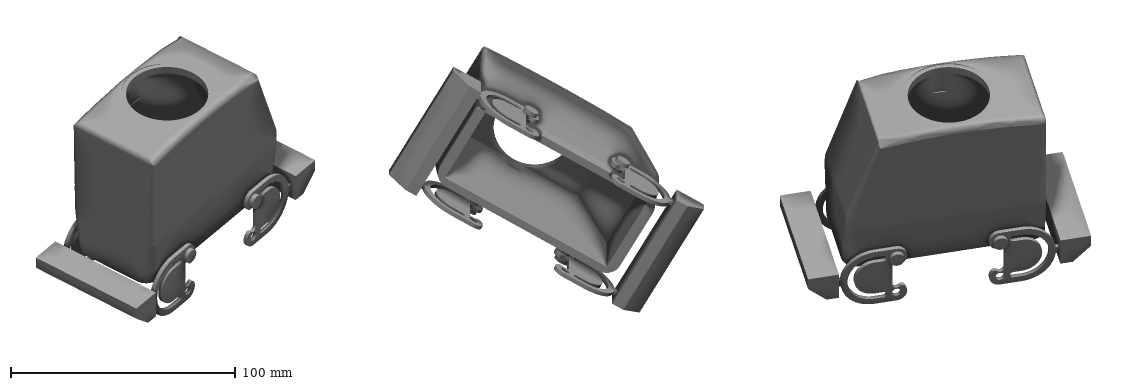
import cadquery as cq
import math

belt_z = 23.2
skirt_z = 6.6
bend_z = 30.8
blank_top_z = 77.7
body_half_width = 22.8
skirt_half_width = 22.1
base_half_width = 21.4
front_base_y = -46.6
front_draft = 0.012
back_base_y = 46.5
back_wall_y = 46.1
slope_run_per_rise = 0.36
base_corner = 7.0
skirt_corner = 6.6
belt_corner = 4.1
bend_corner = 3.1
top_corner = 1.4
bend_round = 10.4
bend_margin = 0.1
overshoot = 13.0
slab_thickness = 1.3

roof_peak_z = 75.6
roof_radius = 284.9
roof_center_y = -6.1
roof_side_round = 3.2
roof_front_round = 2.6
roof_back_round = 1.3
roof_end_z = 73.0
crown_floor_z = -1.3

bore_radius = 18.4
bore_depth = 14.2
spotface_radius = 20.5
spotface_half_length = 17.4
roof_thickness = 3.9

cavity_half_width = 17.9
wall = 4.5

pin_y = 23.7
pin_z = 6.1
lever_outer_radius = 15.5
eye_radius = 4.9
eye_y = lever_outer_radius - eye_radius
lever_center_z = pin_z - eye_y
lever_thickness = 1.8
lever_inner_x = 23.8
lever_bow = 10.0
lever_edge = 2.0
relief_radius = 2.0
tip_x = -2.5
tip_radius = 1.4
eye_hole_radius = 2.1
slot_outer_radius = 12.4
slot_inner_radius = 9.3
slot_end = 4.5

pin_radius = 2.0
pin_head_radius = 3.4
pin_head_thickness = 2.1
pin_root_x = 19.4

overall_length = 129.5
handle_length = 57.0
handle_outer_y = overall_length / 2
handle_inner_y = 50.6
handle_top_z = 3.5
handle_bottom_z = -10.5
handle_nose_z = -2.5
handle_foot_y = 56.3
stem_height = 3.8

roof_axis_z = roof_peak_z - roof_radius
spotface_z = roof_axis_z + math.sqrt(roof_radius**2 - spotface_half_length**2)
ceiling_z = spotface_z - roof_thickness


def front_y(z):
    return front_base_y + front_draft * z


def slope_y(z):
    return back_wall_y - slope_run_per_rise * (z - bend_z)


def roof_z(y):
    return roof_axis_z + math.sqrt(roof_radius**2 - (y - roof_center_y) ** 2)


def tapered_block(lower, upper):
    """Straight-sided solid between two horizontal rounded rectangles."""
    wires = []
    for half_width, y_front, y_back, corner, z in (lower, upper):
        center = cq.Workplane("XY", origin=(0, (y_front + y_back) / 2, z))
        slab = center.rect(2 * half_width, y_back - y_front).extrude(slab_thickness)
        slab = slab.edges("|Z").fillet(corner)
        wires.append(slab.faces("<Z").wires().val())
    return cq.Workplane(cq.Solid.makeLoft(wires, True))


def stacked_tapers(levels):
    stack = tapered_block(levels[0], levels[1])
    for lower, upper in zip(levels[1:], levels[2:]):
        stack = stack.union(tapered_block(lower, upper))
    return stack


def hood_blank():
    """Common part of a front-end and a back-end shape, whose corners shrink towards the roof.

    Each shape overshoots the opposite end, so only its own corners are kept.
    """
    over_back = back_base_y + overshoot
    over_front = front_base_y - overshoot
    front_end = stacked_tapers([
        (base_half_width, front_y(0), over_back, base_corner, 0),
        (skirt_half_width, front_y(skirt_z), over_back, skirt_corner, skirt_z),
        (body_half_width, front_y(belt_z), over_back, belt_corner, belt_z),
        (body_half_width, front_y(blank_top_z), over_back, top_corner, blank_top_z),
    ])
    back_end = stacked_tapers([
        (base_half_width, over_front, back_base_y, base_corner, 0),
        (skirt_half_width, over_front, back_base_y, skirt_corner, skirt_z),
        (body_half_width, over_front, back_wall_y, bend_corner, belt_z),
        (body_half_width, over_front, back_wall_y, bend_corner, bend_z),
        (body_half_width, over_front, slope_y(blank_top_z), top_corner, blank_top_z),
    ])
    blank = front_end.intersect(back_end)
    bend_zone = cq.selectors.BoxSelector(
        (-body_half_width, 0, bend_z - bend_margin), (body_half_width, over_back, bend_z + bend_margin)
    )
    return blank.edges(bend_zone).fillet(bend_round)


def crown():
    """Ring with rounded shoulders, revolved about the centre of the roof arc."""
    return (
        cq.Workplane("XZ", origin=(0, roof_center_y, 0))
        .moveTo(-body_half_width, crown_floor_z)
        .lineTo(-body_half_width, roof_peak_z - roof_side_round)
        .radiusArc((roof_side_round - body_half_width, roof_peak_z), roof_side_round)
        .lineTo(body_half_width - roof_side_round, roof_peak_z)
        .radiusArc((body_half_width, roof_peak_z - roof_side_round), roof_side_round)
        .lineTo(body_half_width, crown_floor_z)
        .close()
        .revolve(360, (0, roof_axis_z), (1, roof_axis_z))
    )


def side_envelope():
    """Lengthwise outline of the hood, with both roof ends rounded."""
    roof_front = (front_y(roof_end_z), roof_z(front_y(roof_end_z)))
    roof_back = (slope_y(roof_end_z), roof_z(slope_y(roof_end_z)))
    outline = (
        cq.Workplane("YZ")
        .moveTo(front_y(0), 0)
        .lineTo(*roof_front)
        .threePointArc((roof_center_y, roof_peak_z), roof_back)
        .lineTo(back_wall_y, bend_z)
        .lineTo(back_wall_y, belt_z)
        .lineTo(back_base_y, skirt_z)
        .lineTo(back_base_y, 0)
        .close()
        .extrude(body_half_width, both=True)
    )
    rounds = ((roof_front, roof_front_round), (roof_back, roof_back_round))
    for corner, radius in rounds:
        outline = outline.edges(cq.selectors.NearestToPointSelector((0, *corner))).fillet(radius)
    return outline


def cavity():
    """Space inside the hood, open at the bottom, one wall thickness from the end faces."""
    slope_wall = wall * math.hypot(1, slope_run_per_rise)
    inner_bend_z = bend_z - (slope_wall - wall) / slope_run_per_rise
    return (
        cq.Workplane("YZ")
        .moveTo(front_y(0) + wall, 0)
        .lineTo(front_y(ceiling_z) + wall, ceiling_z)
        .lineTo(slope_y(ceiling_z) - slope_wall, ceiling_z)
        .lineTo(back_wall_y - wall, inner_bend_z)
        .lineTo(back_wall_y - wall, 0)
        .close()
        .extrude(cavity_half_width, both=True)
    )


def cable_entry():
    """Bore through the roof and the flat spotface around it."""
    center = cq.Workplane("XY", origin=(0, roof_center_y, spotface_z))
    bore = center.circle(bore_radius).extrude(-bore_depth)
    return bore.union(center.circle(spotface_radius).extrude(roof_peak_z))


def hood():
    shell = hood_blank().intersect(crown()).intersect(side_envelope())
    return shell.cut(cavity()).cut(cable_entry())


def pin_cylinder(radius, x_start, x_end):
    return (
        cq.Workplane("YZ", origin=(x_start, pin_y, pin_z)).circle(radius).extrude(x_end - x_start)
    )


def lever_plane():
    """Plane of the lever, with its origin midway between the two eyes."""
    return cq.Workplane("YZ", origin=(lever_inner_x, pin_y, lever_center_z))


def upper_lever():
    """Upper half of the lever: quarter bow, eye and hooked tip beside a round relief."""
    tip_reach = eye_radius - tip_radius
    tip_y = eye_y - math.sqrt(tip_reach**2 - tip_x**2)
    relief_x = lever_edge - relief_radius
    relief_reach = relief_radius + tip_radius
    relief_y = tip_y - math.sqrt(relief_reach**2 - (tip_x - relief_x) ** 2)
    tip_start = (
        relief_x + (tip_x - relief_x) * relief_radius / relief_reach,
        relief_y + (tip_y - relief_y) * relief_radius / relief_reach,
    )
    tip_end = (tip_x * eye_radius / tip_reach, eye_y + (tip_y - eye_y) * eye_radius / tip_reach)
    return (
        lever_plane()
        .moveTo(lever_edge, 0)
        .lineTo(lever_edge, relief_y)
        .radiusArc(tip_start, -relief_radius)
        .radiusArc(tip_end, tip_radius)
        .radiusArc((0, lever_outer_radius), eye_radius)
        .lineTo(lever_bow, lever_outer_radius)
        .radiusArc((lever_bow + lever_outer_radius, 0), lever_outer_radius)
        .close()
        .extrude(lever_thickness)
    )


def upper_slot():
    """Upper half of the curved slot that follows the bow."""
    end_radius = (slot_outer_radius - slot_inner_radius) / 2
    end_x = slot_end + end_radius
    return (
        lever_plane()
        .moveTo(lever_bow + slot_inner_radius, 0)
        .radiusArc((lever_bow, slot_inner_radius), -slot_inner_radius)
        .lineTo(end_x, slot_inner_radius)
        .threePointArc((slot_end, slot_inner_radius + end_radius), (end_x, slot_outer_radius))
        .lineTo(lever_bow, slot_outer_radius)
        .radiusArc((lever_bow + slot_outer_radius, 0), slot_outer_radius)
        .close()
        .extrude(lever_thickness)
    )


def lever():
    """Lever with an eye at each end; the upper eye turns on the pivot pin."""
    half = upper_lever().cut(upper_slot())
    plate = half.union(half.mirror("XY", (0, 0, lever_center_z)))
    lower_eye = lever_plane().center(0, -eye_y).circle(eye_hole_radius).extrude(lever_thickness)
    bow_y = pin_y + lever_bow + (lever_outer_radius + slot_outer_radius) / 2
    stem = cq.Workplane("XY").box(
        lever_thickness, handle_inner_y - bow_y, stem_height, centered=(False, False, True)
    )
    return plate.cut(lower_eye).union(stem.translate((lever_inner_x, bow_y, lever_center_z)))


def pivot_pin():
    """Shank rooted in the hood side, with a larger head outside the lever."""
    head_x = lever_inner_x + lever_thickness
    shank = pin_cylinder(pin_radius, pin_root_x, head_x)
    return shank.union(pin_cylinder(pin_head_radius, head_x, head_x + pin_head_thickness))


def handle():
    """Bar with a bevelled lower outer corner."""
    return (
        cq.Workplane("YZ")
        .moveTo(handle_inner_y, handle_bottom_z)
        .lineTo(handle_foot_y, handle_bottom_z)
        .lineTo(handle_outer_y, handle_nose_z)
        .lineTo(handle_outer_y, handle_top_z)
        .lineTo(handle_inner_y, handle_top_z)
        .close()
        .extrude(handle_length / 2, both=True)
    )


def latch():
    """One handle carried by a lever and a pin on each side of the hood."""
    arm = lever().union(pivot_pin())
    return handle().union(arm).union(arm.mirror("YZ"))


back_latch = latch()
result = hood().union(back_latch).union(back_latch.mirror("XZ"))